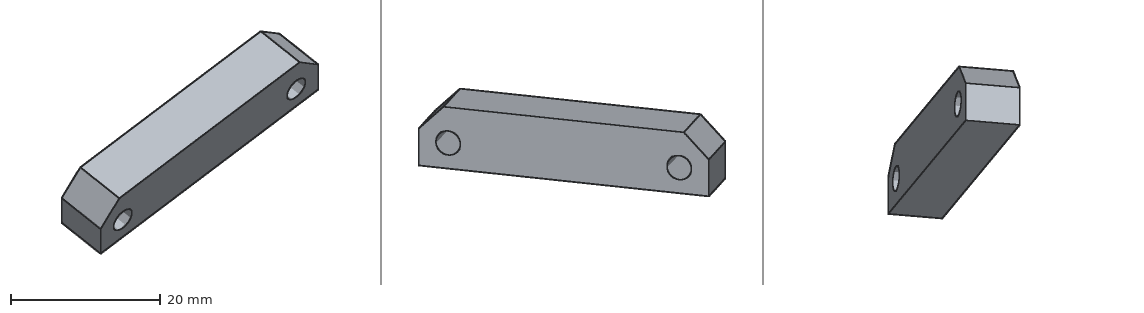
import cadquery as cq

width = 7.5
length = 40.7
height = 8.75

end_chamfer = 3.5

hole_diameter = 3.4
hole_spacing = 32.4
hole_height = 3.65


def make_bar():
    """Rectangular bar resting on Z = 0, with both upper ends cut at 45 degrees."""
    block = cq.Workplane("XY").box(width, length, height, centered=(True, True, False))
    return block.faces(">Z").edges("|X").chamfer(end_chamfer)


def make_cross_holes():
    """Two cylinders along X, one near each end of the bar."""
    hole_centers = [(side * hole_spacing / 2, hole_height) for side in (-1, 1)]
    return (
        cq.Workplane("YZ")
        .pushPoints(hole_centers)
        .circle(hole_diameter / 2)
        .extrude(width / 2, both=True)
    )


result = make_bar().cut(make_cross_holes())